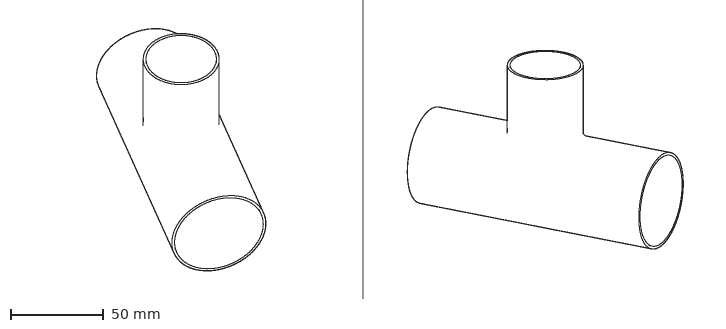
import cadquery as cq

run_length = 140.0
run_outer_diameter = 53.0
run_inner_diameter = 50.0

branch_outer_diameter = 41.0
branch_inner_diameter = 38.0
overall_height = 92.5
branch_top = overall_height - run_outer_diameter / 2

weld_radius = 2.0


def run_cylinder(diameter):
    """Cylinder along X, centred on the origin."""
    return cq.Workplane("YZ").circle(diameter / 2).extrude(run_length / 2, both=True)


def branch_cylinder(diameter):
    """Cylinder along Z, from the run axis to the branch mouth."""
    return cq.Workplane("XY").circle(diameter / 2).extrude(branch_top)


def blended_body():
    """Solid tee with the outer junction curve filleted."""
    body = run_cylinder(run_outer_diameter).union(branch_cylinder(branch_outer_diameter))
    near_junction = cq.selectors.BoxSelector(
        (-branch_outer_diameter, -run_outer_diameter, 0),
        (branch_outer_diameter, run_outer_diameter, run_outer_diameter / 2 + weld_radius),
    )
    junction = body.edges(near_junction).edges("not(%LINE or %CIRCLE)")
    return junction.fillet(weld_radius)


result = (
    blended_body()
    .cut(run_cylinder(run_inner_diameter))
    .cut(branch_cylinder(branch_inner_diameter))
)